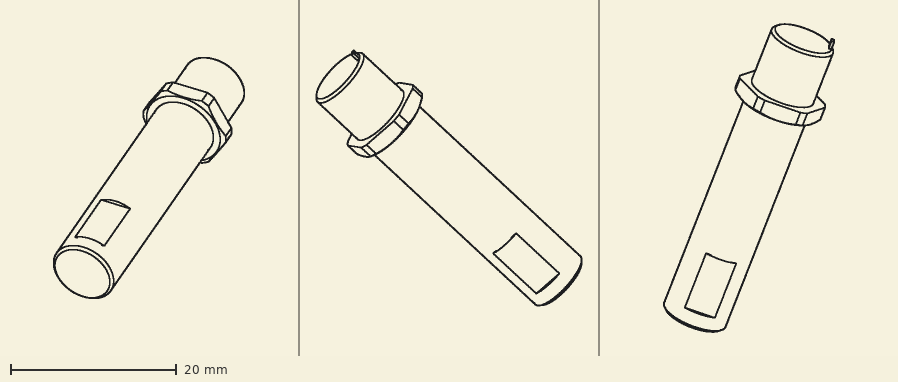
import cadquery as cq
import math

BODY_DIAMETER = 8.0
BODY_LENGTH = 38.5
BODY_CHAMFER = 0.35

NUT_ACROSS_FLATS = 10.0
NUT_CORNER_DIAMETER = 11.0
NUT_THICKNESS = 2.0
NUT_BACK_SETBACK = 7.3
NUT_FACE_DIAMETER = 9.8
NUT_CHAMFER_ANGLE = 30.0

WRENCH_ACROSS_FLATS = 7.0
WRENCH_LENGTH = 7.5
WRENCH_SETBACK = 2.1

PIN_WIDTH = 0.35
PIN_HEIGHT = 0.85
PIN_LENGTH = 1.0
PIN_OFFSET = -3.43


def box_between_y(width, height, y_start, length):
    """Box centred on the Y axis in X and Z, running from y_start towards +Y."""
    return cq.Workplane("XY").box(width, length, height).translate((0, y_start + length / 2, 0))


def make_body():
    body = cq.Workplane("XZ").circle(BODY_DIAMETER / 2).extrude(-BODY_LENGTH)
    return body.faces("<Y or >Y").chamfer(BODY_CHAMFER)


def make_nut():
    """Hexagon with corners turned to a cylinder and a conical chamfer on the front face."""
    y_front = BODY_LENGTH - NUT_BACK_SETBACK - NUT_THICKNESS
    y_back = y_front + NUT_THICKNESS
    corner_radius = NUT_CORNER_DIAMETER / 2
    face_radius = NUT_FACE_DIAMETER / 2
    chamfer_depth = (corner_radius - face_radius) * math.tan(math.radians(NUT_CHAMFER_ANGLE))

    hexagon_diameter = NUT_ACROSS_FLATS / math.cos(math.pi / 6)
    hexagon = (
        cq.Workplane("XZ", origin=(0, y_front, 0))
        .polygon(6, hexagon_diameter)
        .extrude(-NUT_THICKNESS)
    )
    turned_blank = (
        cq.Workplane("XY")
        .polyline([
            (0, y_front),
            (face_radius, y_front),
            (corner_radius, y_front + chamfer_depth),
            (corner_radius, y_back),
            (0, y_back),
        ])
        .close()
        .revolve(360, (0, 0, 0), (0, 1, 0))
    )
    return hexagon.intersect(turned_blank)


def cut_wrench_flats(body):
    """Cut the two parallel flats facing +Z and -Z."""
    slab_height = BODY_DIAMETER - WRENCH_ACROSS_FLATS
    slab = box_between_y(BODY_DIAMETER, slab_height, WRENCH_SETBACK, WRENCH_LENGTH)
    slab_center = (WRENCH_ACROSS_FLATS + slab_height) / 2
    for side in (1, -1):
        body = body.cut(slab.translate((0, 0, side * slab_center)))
    return body


def make_pin():
    pin = box_between_y(PIN_WIDTH, PIN_HEIGHT, BODY_LENGTH - PIN_LENGTH, 2 * PIN_LENGTH)
    return pin.translate((PIN_OFFSET, 0, 0))


result = cut_wrench_flats(make_body()).union(make_nut()).union(make_pin())